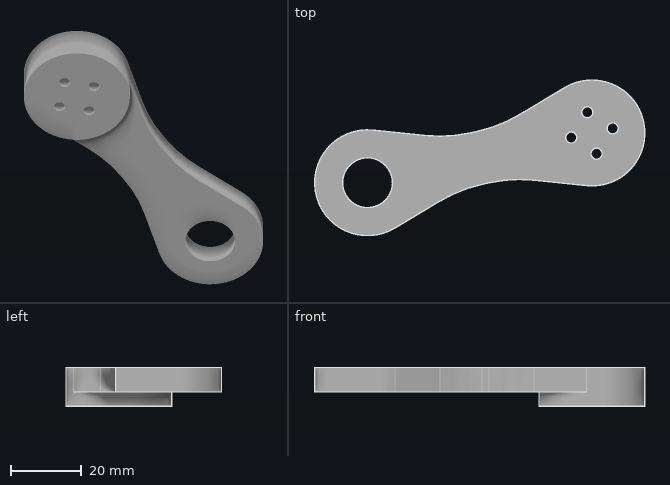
import cadquery as cq
import math

center_distance = 65.0
arm_angle = 12.5
end_diameter = 30.0
plate_thickness = 7.0
boss_height = 4.0

waist_width = 15.0
waist_length = 15.0
waist_fillet_radius = 40.0

bore_diameter = 14.0

screw_hole_diameter = 3.05
screw_circle_diameter = 12.0
screw_count = 4

end_radius = end_diameter / 2
waist_half_width = waist_width / 2
waist_start = (center_distance - waist_length) / 2
waist_end = waist_start + waist_length

corner_distance = math.hypot(waist_start, waist_half_width)
corner_angle = math.atan2(waist_half_width, waist_start)
flank_slope = math.asin(end_radius / corner_distance) - corner_angle
tangent_x = end_radius * math.sin(flank_slope)
tangent_y = end_radius * math.cos(flank_slope)


def make_web():
    """Tapered web between the end circles, with rounded waist corners."""
    upper_edge = [
        (tangent_x, tangent_y),
        (waist_start, waist_half_width),
        (waist_end, waist_half_width),
        (center_distance - tangent_x, tangent_y),
    ]
    lower_edge = [(x, -y) for x, y in reversed(upper_edge)]
    web = cq.Workplane("XY").polyline(upper_edge + lower_edge).close().extrude(plate_thickness)
    waist_corners = cq.selectors.BoxSelector(
        (end_radius, -end_radius, 0),
        (center_distance - end_radius, end_radius, plate_thickness),
    )
    return web.edges("|Z").edges(waist_corners).fillet(waist_fillet_radius)


def make_bore_end():
    return cq.Workplane("XY").circle(end_radius).extrude(plate_thickness)


def make_boss_end():
    """Boss end disc, extending below the plate."""
    return (
        cq.Workplane("XY", origin=(center_distance, 0, -boss_height))
        .circle(end_radius)
        .extrude(boss_height + plate_thickness)
    )


def make_bore():
    return cq.Workplane("XY").circle(bore_diameter / 2).extrude(plate_thickness)


def make_screw_holes():
    """Screw holes through the plate and the boss, evenly spaced on a circle."""
    return (
        cq.Workplane("XY", origin=(center_distance, 0, -boss_height))
        .polarArray(screw_circle_diameter / 2, 0, 360, screw_count)
        .circle(screw_hole_diameter / 2)
        .extrude(boss_height + plate_thickness)
    )


arm = make_web().union(make_bore_end()).union(make_boss_end())
arm = arm.cut(make_bore()).cut(make_screw_holes())
result = arm.rotate((0, 0, 0), (0, 0, 1), arm_angle)